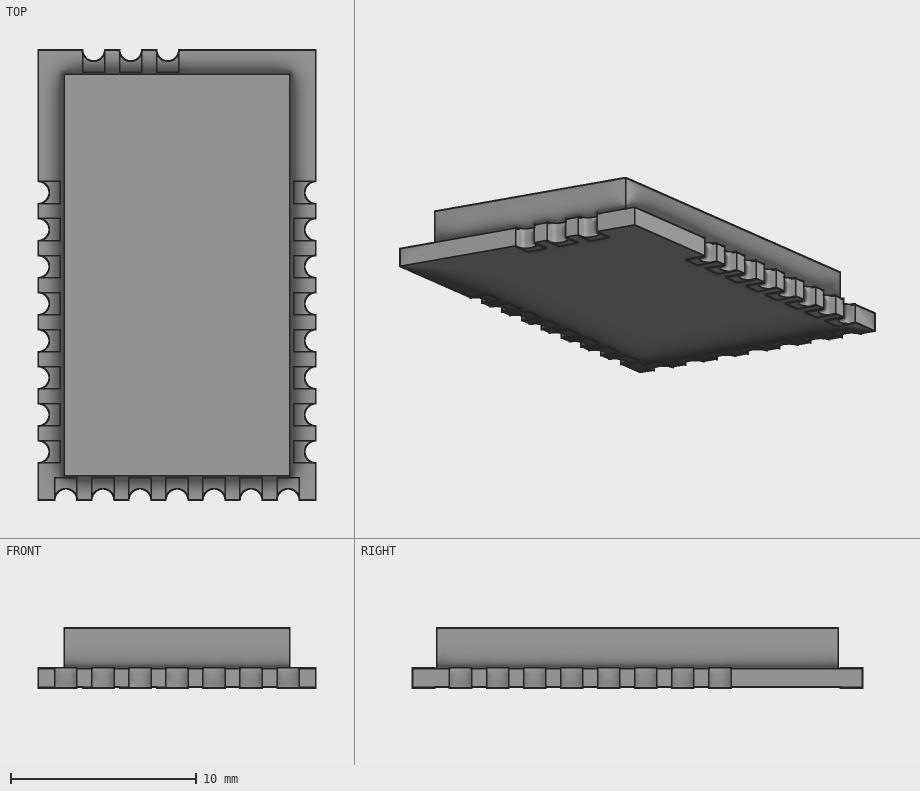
import cadquery as cq

BOARD_WIDTH = 15.0
BOARD_LENGTH = 24.3
BOARD_THICKNESS = 1.0

SHIELD_WIDTH = 12.2
SHIELD_LENGTH = 21.7
SHIELD_HEIGHT = 2.2

PAD_PITCH = 2.0
PAD_WIDTH = 1.2
PAD_DEPTH = 1.2
NOTCH_RADIUS = PAD_WIDTH / 2
COPPER_THICKNESS = 0.05

SIDE_PAD_COUNT = 8
FRONT_PAD_COUNT = 7
BACK_PAD_COUNT = 3
SIDE_PAD_START = 2.6
BACK_PAD_START = 3.0

HALF_WIDTH = BOARD_WIDTH / 2
HALF_LENGTH = BOARD_LENGTH / 2
PAD_HEIGHT = BOARD_THICKNESS + 2 * COPPER_THICKNESS


def pad_row(start, count):
    """Pad centre positions along one board edge."""
    return [start + i * PAD_PITCH for i in range(count)]


def edge_pads():
    """Return (x, y, inward_x, inward_y) at the edge point of every pad."""
    pads = []
    for y in pad_row(SIDE_PAD_START - HALF_LENGTH, SIDE_PAD_COUNT):
        pads.append((-HALF_WIDTH, y, 1, 0))
        pads.append((HALF_WIDTH, y, -1, 0))
    front_start = -(FRONT_PAD_COUNT - 1) * PAD_PITCH / 2
    for x in pad_row(front_start, FRONT_PAD_COUNT):
        pads.append((x, -HALF_LENGTH, 0, 1))
    for x in pad_row(BACK_PAD_START - HALF_WIDTH, BACK_PAD_COUNT):
        pads.append((x, HALF_LENGTH, 0, -1))
    return pads


def block(width, length, height, base_z):
    """A box centred on the Z axis, standing on base_z."""
    return cq.Workplane("XY").workplane(offset=base_z).rect(width, length).extrude(height)


def make_pad(x, y, inward_x, inward_y):
    """Copper pad reaching from below the board to above it, outer edge on the board edge."""
    size_x = PAD_DEPTH if inward_x else PAD_WIDTH
    size_y = PAD_DEPTH if inward_y else PAD_WIDTH
    centre = (x + inward_x * PAD_DEPTH / 2, y + inward_y * PAD_DEPTH / 2, 0)
    return block(size_x, size_y, PAD_HEIGHT, 0).translate(centre)


def make_notches(pads):
    """Vertical cylinders centred on the board edge, one per pad."""
    centres = [(x, y) for x, y, *_ in pads]
    return cq.Workplane("XY").pushPoints(centres).circle(NOTCH_RADIUS).extrude(PAD_HEIGHT)


pads = edge_pads()
board = block(BOARD_WIDTH, BOARD_LENGTH, BOARD_THICKNESS, COPPER_THICKNESS)
shield = block(SHIELD_WIDTH, SHIELD_LENGTH, SHIELD_HEIGHT, COPPER_THICKNESS + BOARD_THICKNESS)

result = board.union(shield)
for pad in pads:
    result = result.union(make_pad(*pad))
result = result.cut(make_notches(pads))